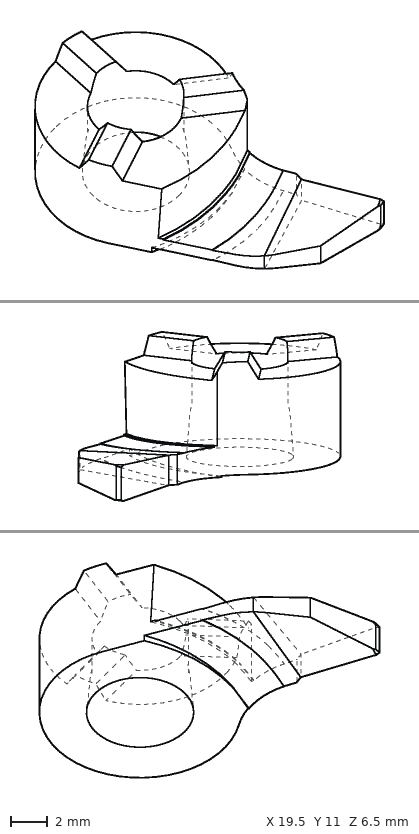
import cadquery as cq
import math

HUB_RADIUS = 5.5
SEAT_Z = 5.28
RIDGE_TOP_Z = 6.28
BIG = 39.0

BORE_RADIUS = 2.63
BORE_STRAIGHT_END_Z = 2.92
RELIEF_Z = 2.45
RELIEF_RADIUS = 2.73
BORE_MOUTH_RADIUS = 2.92

RIDGE_HALF_TOP = 0.68
RIDGE_HALF_BASE = 1.27
RIDGE_ANGLES = (30, 150, 270)

BACK_Y = 1.56
NECK_END_X = 8.01
SHOULDER_X = 8.78
LOWER_TANGENT = (7.62, -4.88)
FLANK_START = (9.83, -4.13)

JOINT_X = 9.18
CUT_Y = 1.27
TIP_X = 14.0
NOSE = (13.95, 0.92)
CORNER = (11.85, -2.87)
BEVEL_LENGTH = 0.21
BEVEL_DEPTH = 0.1

BLADE_Z = 0.79
JOINT_HALF = 0.84
TIP_HALF = 1.005
WEB_HALF = 0.82
BLADE_SLOPE_X = (TIP_HALF - JOINT_HALF) / (TIP_X - BEVEL_LENGTH - JOINT_X)
BLADE_SLOPE_Y = 0.055
WEB_SLOPE_Y = 0.06

WALL_TOP = ((5.7, 0.39), (5.09, -2.45), (3.53, -5.15))
WALL_FOOT = ((5.7, 0.39), (5.0, -2.45), (3.3, -5.23))
LOWER_WALL = ((5.46, 0.39), (4.75, -2.45), (2.92, -5.26))
WEB_EDGE = ((8.01, 0.39), (7.55, -2.45), (6.35, -4.95))
WALL_FOOT_Z = 1.19
FOOT_STEP_BACK = 0.18
FOOT_STEP_FRONT = 0.27
FOOT_STEP_HEIGHT = 0.05
TRIM_MARGIN = 0.2


def tangent_point(point):
    """Point on the lower side of the hub whose tangent passes through `point`."""
    angle = math.atan2(point[1], point[0]) - math.acos(HUB_RADIUS / math.hypot(*point))
    return (HUB_RADIUS * math.cos(angle), HUB_RADIUS * math.sin(angle))


def whole_outline():
    """Plan outline of holder and blade, running past the joint."""
    neck_radius = (NECK_END_X**2 + BACK_Y**2 - HUB_RADIUS**2) / (2 * (HUB_RADIUS - BACK_Y))
    neck_y = BACK_Y + neck_radius
    reach = math.hypot(NECK_END_X, neck_y)
    hub_touch = (HUB_RADIUS * NECK_END_X / reach, HUB_RADIUS * neck_y / reach)
    mid_angle = (math.atan2(-neck_y, -NECK_END_X) - math.pi / 2) / 2
    neck_mid = (NECK_END_X + neck_radius * math.cos(mid_angle), neck_y + neck_radius * math.sin(mid_angle))
    return (
        cq.Workplane("XY").workplane(offset=-BIG / 2)
        .moveTo(*hub_touch)
        .threePointArc((-HUB_RADIUS, 0), tangent_point(LOWER_TANGENT))
        .lineTo(*LOWER_TANGENT)
        .tangentArcPoint(FLANK_START, relative=False)
        .lineTo(*CORNER)
        .lineTo(*NOSE)
        .lineTo(TIP_X, CUT_Y)
        .lineTo(JOINT_X, CUT_Y)
        .lineTo(SHOULDER_X, BACK_Y)
        .lineTo(NECK_END_X, BACK_Y)
        .threePointArc(neck_mid, hub_touch)
        .close()
        .extrude(BIG)
    )


def tapered_slab(x, y, half, slope_x, slope_y):
    """Slab symmetric about the blade's middle plane, `half` thick each way at (x, y)."""
    def side(sign):
        plane = cq.Plane((x, y, BLADE_Z + sign * half), (1, 0, sign * slope_x),
                         (-slope_x, -slope_y, sign))
        return cq.Workplane(plane).rect(2 * BIG, 2 * BIG).extrude(-BIG)

    return side(1).intersect(side(-1))


def beyond(arc, z):
    """Closed wire around everything on the blade side of an arc, at height z."""
    start, middle, end = arc
    return (
        cq.Workplane("XY").workplane(offset=z)
        .moveTo(start[0], BIG).lineTo(*start)
        .threePointArc(middle, end)
        .lineTo(end[0] - BIG / 2, -BIG).lineTo(BIG, -BIG).lineTo(BIG, BIG)
        .close()
    )


def region_beyond(arc, bottom, top):
    """Prism on the blade side of an arc."""
    return beyond(arc, bottom).extrude(top - bottom)


def leaning_region():
    """Space outside the hub's leaning upper wall, from the blade's middle plane up."""
    def wall_at(z):
        share = (z - WALL_FOOT_Z) / (SEAT_Z - WALL_FOOT_Z)
        return [tuple(f + share * (t - f) for f, t in zip(foot, top))
                for foot, top in zip(WALL_FOOT, WALL_TOP)]

    wires = [beyond(wall_at(z), z).val() for z in (BLADE_Z, RIDGE_TOP_Z + TRIM_MARGIN)]
    return cq.Workplane(obj=cq.Solid.makeLoft(wires, True))


def foot_step(web):
    """Narrow step on the web along the foot of the wall."""
    start, middle, end = WALL_FOOT
    mid_step = (FOOT_STEP_BACK + FOOT_STEP_FRONT) / 2
    outer = ((start[0] + FOOT_STEP_BACK, start[1]),
             (middle[0] + mid_step, middle[1]), (end[0] + FOOT_STEP_FRONT, end[1]))
    upper = region_beyond(WALL_FOOT, BLADE_Z, BIG / 2).cut(region_beyond(outer, BLADE_Z, BIG / 2))
    return web.intersect(upper)


def ridges():
    """Three trapezoidal driving ridges running outwards from the bore."""
    profile = (
        cq.Workplane("YZ")
        .polyline([(-RIDGE_HALF_BASE, SEAT_Z), (RIDGE_HALF_BASE, SEAT_Z),
                   (RIDGE_HALF_TOP, RIDGE_TOP_Z), (-RIDGE_HALF_TOP, RIDGE_TOP_Z)])
        .close().extrude(BIG)
    )
    bars = cq.Workplane("XY")
    for angle in RIDGE_ANGLES:
        bars = bars.add(profile.rotate((0, 0, 0), (0, 0, 1), angle))
    return bars.combine()


def bore():
    """Straight bore that flares below the relief line."""
    return (
        cq.Workplane("XZ")
        .polyline([(0, 0), (BORE_MOUTH_RADIUS, 0), (RELIEF_RADIUS, RELIEF_Z),
                   (BORE_RADIUS, BORE_STRAIGHT_END_Z), (BORE_RADIUS, RIDGE_TOP_Z), (0, RIDGE_TOP_Z)])
        .close().revolve(360, (0, 0, 0), (0, 1, 0))
    )


def make_holder(outline, blade_slab):
    below = cq.Workplane("XY").box(BIG, BIG, SEAT_Z, centered=(True, True, False))
    hub = (
        outline.intersect(below.union(ridges()))
        .cut(leaning_region())
        .cut(region_beyond(LOWER_WALL, -TRIM_MARGIN, BLADE_Z))
    )
    web_slab = tapered_slab(0, BACK_Y, WEB_HALF, 0, WEB_SLOPE_Y)
    outside_hub = region_beyond(LOWER_WALL, -BIG / 2, BIG / 2)
    outer = region_beyond(WEB_EDGE, -BIG / 2, BIG / 2)
    web_outline = outline.intersect(outside_hub).cut(outer)
    web = web_outline.intersect(web_slab)
    raised_slab = tapered_slab(0, BACK_Y, WEB_HALF + FOOT_STEP_HEIGHT, 0, WEB_SLOPE_Y)
    step = foot_step(web_outline.intersect(raised_slab))
    front = cq.Workplane("XY").box(JOINT_X, BIG, BIG, centered=(False, True, True))
    blade = outline.intersect(outer).intersect(front).intersect(blade_slab)
    return hub.union(web).union(step).union(blade).cut(bore())


def make_insert(outline, blade_slab):
    """Cutting insert with its tip bevelled above and below."""
    profile = (
        cq.Workplane("XZ", origin=(0, BIG / 2, 0))
        .polyline([(JOINT_X, BLADE_Z - TIP_HALF), (TIP_X - BEVEL_LENGTH, BLADE_Z - TIP_HALF),
                   (TIP_X, BLADE_Z - TIP_HALF + BEVEL_DEPTH), (TIP_X, BLADE_Z + TIP_HALF - BEVEL_DEPTH),
                   (TIP_X - BEVEL_LENGTH, BLADE_Z + TIP_HALF), (JOINT_X, BLADE_Z + TIP_HALF)])
        .close().extrude(BIG)
    )
    return outline.intersect(blade_slab).intersect(profile)


outline = whole_outline()
blade_slab = tapered_slab(JOINT_X, CUT_Y, JOINT_HALF, BLADE_SLOPE_X, BLADE_SLOPE_Y)
holder = make_holder(outline, blade_slab)
insert = make_insert(outline, blade_slab)

result = cq.Compound.makeCompound([*holder.solids().vals(), *insert.solids().vals()])